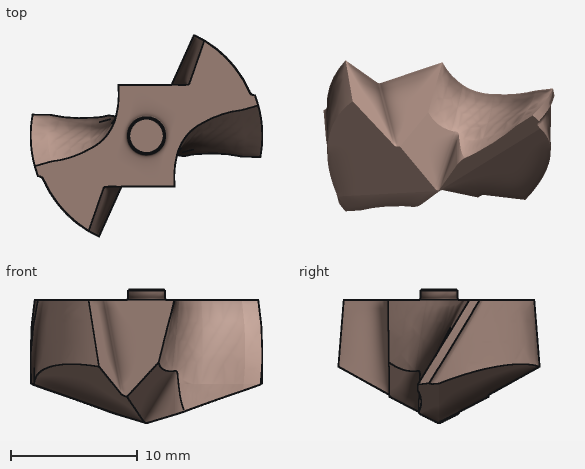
import cadquery as cq
import math


tip_depth = 9.735
flute_lead = 93.2
lip_depth = 6.63
lip_lead = 108.0
margin_radius = 9.15
body_radius = 8.86
heel_radius = 8.80
blank_depth = tip_depth + 1.0
far = 40.0

margin_end_angle = 20.5
step_end_angle = 23.1
step_arc_radius = 0.41
heel_end_angle = 110.0

flute_heel = (2.23, -4.0)
flute_heel_mid = (2.25, -2.4)
flute_root = (2.58, -1.0)
flute_root_mid = (3.24, 0.10)
flute_face = (4.34, 0.96)
flute_face_mid = (5.85, 1.66)
flute_lip = (7.53, 2.03)
flute_corner_angle = 15.2

point_rise = 0.355
primary_rise = 0.085
secondary_rise = 0.395

flat_distance = 4.02
flat_lean = 0.014
heel_inner = (-3.35, -flat_distance, 0.0)
heel_outer = (-4.59, -7.58, 0.0)
heel_low = (-3.75, -7.96, -5.27)
heel_fillet = 0.2

gash_wall_offset = 0.04
gash_wall_slope = 0.61
gash_wall_end = 2.23
gash_arc_end = (3.34, -1.55)
gash_arc_radius = 1.40
gash_floor_depth = 9.49
gash_floor_rise_x = 1.073
gash_floor_rise_y = -0.895
gash_fillet = 0.30
gash_reach = 6.0

spigot_radius = 1.48
spigot_height = 0.845
spigot_fillet = 0.15
spigot_chamfer = 0.13


def polar(radius, angle):
    return (radius * math.cos(math.radians(angle)), radius * math.sin(math.radians(angle)))


def opposite(point):
    return (-point[0], -point[1])


def middle(start, end):
    return ((start[0] + end[0]) / 2, (start[1] + end[1]) / 2)


def half_space(origin, normal):
    """A large block on the side of a plane that the normal points to."""
    return cq.Workplane(cq.Plane(origin, normal=normal)).rect(2 * far, 2 * far).extrude(far)


def with_half_turn(tool):
    return tool.union(tool.rotate((0, 0, 0), (0, 0, 1), 180))


def add_tooth(outline, place):
    """Draw one flute and the tooth behind it, starting from the heel of the tooth before."""
    margin_middle = (flute_corner_angle + margin_end_angle) / 2
    body_middle = (step_end_angle + heel_end_angle) / 2
    outline = outline.lineTo(*place(flute_heel))
    outline = outline.threePointArc(place(flute_heel_mid), place(flute_root))
    outline = outline.threePointArc(place(flute_root_mid), place(flute_face))
    outline = outline.threePointArc(place(flute_face_mid), place(flute_lip))
    outline = outline.lineTo(*place(polar(margin_radius, flute_corner_angle)))
    outline = outline.threePointArc(
        place(polar(margin_radius, margin_middle)), place(polar(margin_radius, margin_end_angle))
    )
    outline = outline.radiusArc(place(polar(body_radius, step_end_angle)), step_arc_radius)
    return outline.threePointArc(
        place(polar(heel_radius, body_middle)), place(polar(heel_radius, heel_end_angle))
    )


def cross_section():
    start = opposite(polar(heel_radius, heel_end_angle))
    outline = cq.Workplane("XY").moveTo(*start)
    outline = add_tooth(outline, lambda point: point)
    outline = add_tooth(outline, opposite)
    return outline.close().wire().val()


def twisted_length(section, height, lead):
    """Extrude a horizontal section downwards while it turns about the axis."""
    center = cq.Vector(0, 0, section.Center().z)
    drop = cq.Vector(0, 0, -height)
    return cq.Solid.extrudeLinearWithRotation(section, [], center, drop, 360 * height / lead)


def twisted_blank():
    seat_section = cross_section()
    lip_turn = -360 * lip_depth / flute_lead
    lip_section = seat_section.rotate((0, 0, 0), (0, 0, 1), lip_turn).translate((0, 0, -lip_depth))
    upper = twisted_length(seat_section, lip_depth, flute_lead)
    lower = twisted_length(lip_section, blank_depth - lip_depth, lip_lead)
    return cq.Workplane(upper).union(cq.Workplane(lower))


def grind_point(body):
    tip = (0, 0, -tip_depth)
    for side in (1, -1):
        for rise in (primary_rise, secondary_rise):
            outward = (side * point_rise, side * rise, -1)
            body = body.cut(half_space(tip, outward))
    return body


def heel_cutter():
    inner = cq.Vector(*heel_inner)
    heel_normal = (cq.Vector(*heel_low) - inner).cross(cq.Vector(*heel_outer) - inner).normalized()
    flat_normal = cq.Vector(0, -1, -flat_lean).normalized()
    corner_line = flat_normal.cross(heel_normal).normalized()
    flat_end = inner + flat_normal.cross(corner_line) * far
    heel_end = inner + heel_normal.cross(corner_line) * far
    frame = cq.Plane(inner, xDir=flat_end - inner, normal=corner_line)
    triangle = [frame.toLocalCoords(corner) for corner in (inner, flat_end, heel_end)]
    wedge = (
        cq.Workplane(frame)
        .polyline([(corner.x, corner.y) for corner in triangle])
        .close()
        .extrude(far, both=True)
    )
    return wedge.edges(cq.NearestToPointSelector(heel_inner)).fillet(heel_fillet)


def gash_floor_point(x, y):
    return (x, y, gash_floor_rise_x * x + gash_floor_rise_y * y - gash_floor_depth)


def gash_wall_y(x):
    return -gash_wall_slope * x - gash_wall_offset


def gash_cutter():
    wall_start = (-gash_reach, gash_wall_y(-gash_reach))
    wall_end = (gash_wall_end, gash_wall_y(gash_wall_end))
    footprint = (
        cq.Workplane("XY")
        .moveTo(*wall_start)
        .lineTo(*wall_end)
        .radiusArc(gash_arc_end, -gash_arc_radius)
        .lineTo(gash_arc_end[0], -gash_reach)
        .lineTo(-gash_reach, -gash_reach)
        .close()
    )
    prism = footprint.extrude(far, both=True)
    floor_normal = (-gash_floor_rise_x, -gash_floor_rise_y, 1)
    tool = prism.cut(half_space(gash_floor_point(0, 0), floor_normal))
    wall_edge_middle = gash_floor_point(*middle(wall_start, wall_end))
    arc_edge_middle = gash_floor_point(*middle(wall_end, gash_arc_end))
    corner = tool.edges(cq.NearestToPointSelector(wall_edge_middle))
    corner = corner.add(tool.edges(cq.NearestToPointSelector(arc_edge_middle)))
    return tool.newObject(corner.vals()).fillet(gash_fillet)


def spigot():
    half_profile = (
        cq.Workplane("XZ")
        .moveTo(0, -spigot_fillet)
        .lineTo(spigot_radius + spigot_fillet, -spigot_fillet)
        .lineTo(spigot_radius + spigot_fillet, 0)
        .radiusArc((spigot_radius, spigot_fillet), spigot_fillet)
        .lineTo(spigot_radius, spigot_height - spigot_chamfer)
        .lineTo(spigot_radius - spigot_chamfer, spigot_height)
        .lineTo(0, spigot_height)
        .close()
    )
    return half_profile.revolve(360, (0, 0, 0), (0, 1, 0))


body = grind_point(twisted_blank())
body = body.cut(with_half_turn(heel_cutter()))
body = body.cut(with_half_turn(gash_cutter()))
result = body.union(spigot())